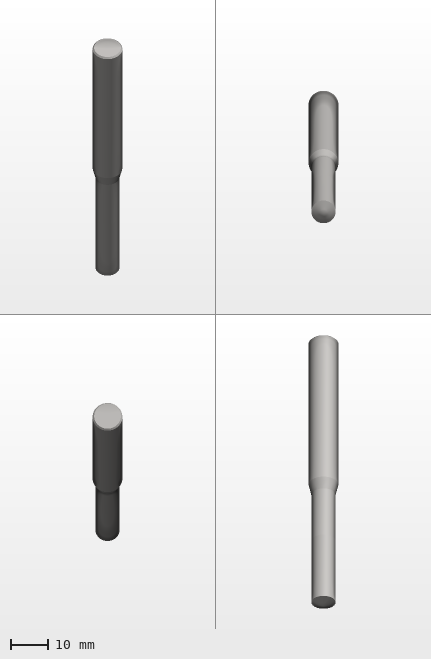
import cadquery as cq
import math

total_length = 83.0
shank_diameter = 8.0
cutter_diameter = 6.5

cutter_top = 20.5
neck_top = 35.0
taper_top = 38.3

point_angle = 140.0
end_chamfer = 0.4

shank_radius = shank_diameter / 2
cutter_radius = cutter_diameter / 2
point_height = cutter_radius / math.tan(math.radians(point_angle / 2))


def revolve_profile(points):
    """Turn a closed (radius, height) outline about the Z axis."""
    return cq.Workplane("XZ").polyline(points).close().revolve(360, (0, 0), (0, 1))


def make_cutter():
    """Cylindrical cutting section with a conical drill point."""
    return revolve_profile([
        (0, 0),
        (cutter_radius, point_height),
        (cutter_radius, cutter_top),
        (0, cutter_top),
    ])


def make_shank():
    """Neck, taper and clamping shank with a chamfered upper end."""
    return revolve_profile([
        (0, cutter_top),
        (cutter_radius, cutter_top),
        (cutter_radius, neck_top),
        (shank_radius, taper_top),
        (shank_radius, total_length - end_chamfer),
        (shank_radius - end_chamfer, total_length),
        (0, total_length),
    ])


cutter = make_cutter()
shank = make_shank()

result = cq.Compound.makeCompound([cutter.val(), shank.val()])